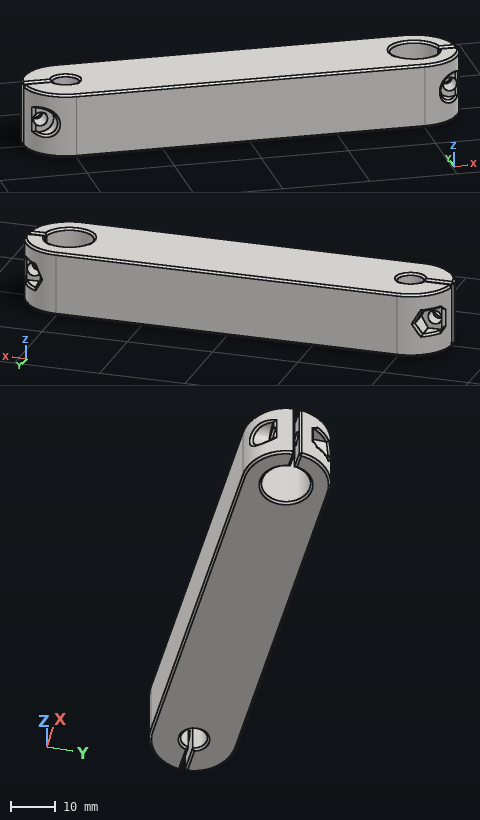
import cadquery as cq
import math

overall_length = 99.9
width = 20.0
height = 15.0
end_radius = width / 2
edge_chamfer = 0.5
slit_width = 1.0
mouth_half_width = slit_width / 2 + edge_chamfer
tip_trim = end_radius - math.sqrt(end_radius**2 - mouth_half_width**2)
length = overall_length + 2 * tip_trim

small_bore = 6.0
large_bore = 11.0
bore_offset = length / 2 - end_radius

screw_hole = 3.2
screw_inset = 3.0
screw_offset = length / 2 - screw_inset
screw_z = 8.0
head_diameter = 6.0
head_seat_y = -5.0
nut_flats = 5.5
nut_corners = nut_flats / math.cos(math.pi / 6)
nut_seat_y = 4.0

pick_margin = 0.1
surface_tolerance = 0.01
rim_sample_places = (0, 0.3, 0.7, 1)
rim_box_half = 4.0


def make_body():
    """Rounded bar with two bores, each slit open to its end."""
    body = cq.Workplane("XY").slot2D(length, width).extrude(height)
    for side, bore in ((-1, small_bore), (1, large_bore)):
        hole = cq.Workplane("XY").center(side * bore_offset, 0).circle(bore / 2).extrude(height)
        slit = (
            cq.Workplane("XY")
            .center(side * (bore_offset + end_radius / 2), 0)
            .rect(end_radius, slit_width)
            .extrude(height)
        )
        body = body.cut(hole).cut(slit)
    return body


def chamfer_body(body):
    """Chamfer the top and bottom outlines and the outer mouths of the slits."""
    mouth_x = length / 2 - slit_width
    mouth_y = slit_width / 2 + pick_margin
    mouths = cq.selectors.BoxSelector(
        (-length, -mouth_y, 0), (-mouth_x, mouth_y, height)
    ) + cq.selectors.BoxSelector((mouth_x, -mouth_y, 0), (length, mouth_y, height))
    outlines = body.faces("<Z or >Z").edges()
    return outlines.add(body.edges("|Z").edges(mouths)).chamfer(edge_chamfer)


def screw_axis(side):
    """Workplane centred on the clamp screw of one end."""
    return cq.Workplane("XZ", origin=(side * screw_offset, 0, screw_z))


def cut_pockets(body, side):
    """Cut the round screw-head pocket and the hexagonal nut pocket of one end."""
    axis = screw_axis(side)
    head = axis.workplane(offset=-head_seat_y).circle(head_diameter / 2).extrude(width)
    nut = axis.workplane(offset=-nut_seat_y).polygon(6, nut_corners).extrude(-width)
    return body.cut(head).cut(nut)


def is_rim(edge):
    """True for a pocket edge that lies on a rounded end face."""
    box = edge.BoundingBox()
    if abs(edge.Center().z - screw_z) > rim_box_half or box.zlen > 2 * rim_box_half:
        return False
    for place in rim_sample_places:
        point = edge.positionAt(place)
        radius = math.hypot(abs(point.x) - bore_offset, point.y)
        if abs(radius - end_radius) > surface_tolerance:
            return False
    return True


result = chamfer_body(make_body())
for end_side in (-1, 1):
    result = cut_pockets(result, end_side)
rims = [edge for edge in result.edges().vals() if is_rim(edge)]
result = result.newObject(rims).chamfer(edge_chamfer)

for end_side in (-1, 1):
    result = result.cut(screw_axis(end_side).circle(screw_hole / 2).extrude(width / 2, both=True))